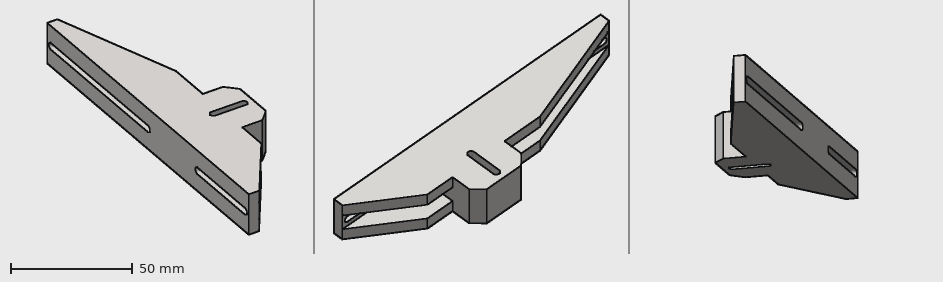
import cadquery as cq

length = 154.0
depth = 40.0
height = 20.0

plate_thickness = 5.1
body_depth = 25.1
left_slope_end = 59.5
right_slope_end = 124.5

tab_left = 80.0
tab_width = 30.0
tab_right = tab_left + tab_width
tab_centre = tab_left + tab_width / 2
tab_chamfer = 5.1

slot_width = 3.2
left_slot = (1.4, 78.5)
right_slot = (113.2, 152.6)
tab_slot = (19.1, 37.1)
groove_height = 8.0


def make_body():
    """Extrude the plan outline, front face on Y = 0 and mid-height on Z = 0."""
    outline = [
        (0, 0),
        (length, 0),
        (length, plate_thickness),
        (right_slope_end, body_depth),
        (tab_right, body_depth),
        (tab_right, depth - tab_chamfer),
        (tab_right - tab_chamfer, depth),
        (tab_left + tab_chamfer, depth),
        (tab_left, depth - tab_chamfer),
        (tab_left, body_depth),
        (left_slope_end, body_depth),
        (0, plate_thickness),
    ]
    return cq.Workplane("XY").polyline(outline).close().extrude(height / 2, both=True)


def plate_slot(start, end):
    """Round-ended slot along X, cutting through the front plate."""
    return (
        cq.Workplane("XZ")
        .center((start + end) / 2, 0)
        .slot2D(end - start, slot_width)
        .extrude(-depth)
    )


def tab_slot_cutter(start, end):
    """Round-ended slot along Y, cutting through the full height of the tab."""
    return (
        cq.Workplane("XY")
        .center(tab_centre, (start + end) / 2)
        .slot2D(end - start, slot_width, 90)
        .extrude(height / 2, both=True)
    )


def groove(start, end):
    """Groove behind the front plate, open to the back and to the slope."""
    return cq.Workplane("XY").box(
        end - start, depth - plate_thickness, groove_height, centered=(False, False, True)
    ).translate((start, plate_thickness, 0))


result = make_body()
for start, end in (left_slot, right_slot):
    result = result.cut(plate_slot(start, end))
for start, end in ((0, tab_left), (tab_right, length)):
    result = result.cut(groove(start, end))
result = result.cut(tab_slot_cutter(*tab_slot))